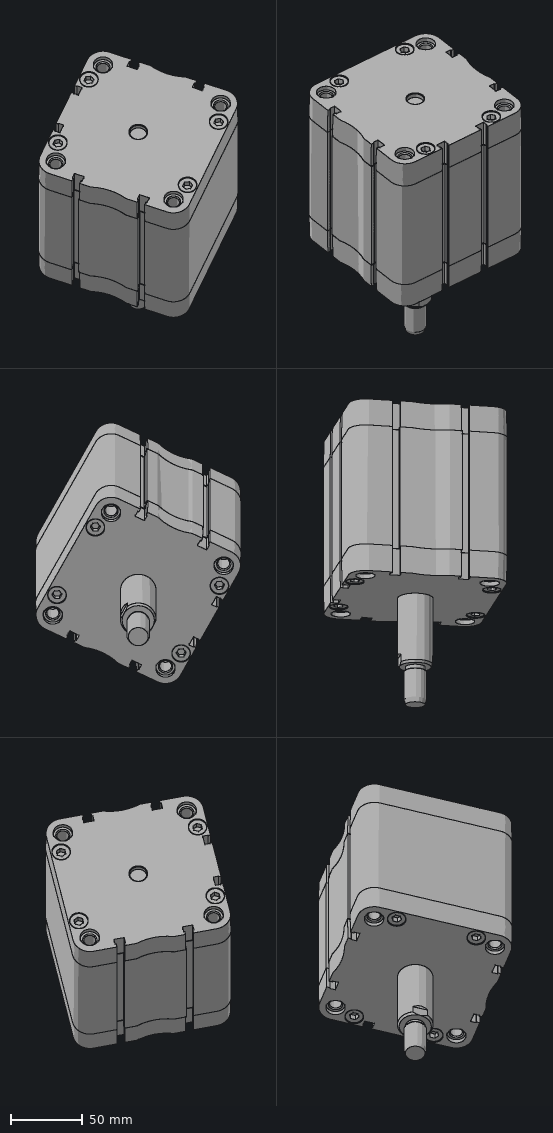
import cadquery as cq
import math

side = 113.5
total_height = 205.0
rod_reach = 78.3
half_side = side / 2
corner_radius = 12.5
cap_height = 19.5
cap_draft_angle = 1.0
barrel_base = rod_reach + cap_height
barrel_top = total_height - cap_height

y_slot_outer_edge = 27.5
y_slot_lip = 2.9
y_slot_undercut = 0.8
cap_y_slot_mouth = 5.7
cap_y_slot_depth = 7.0
barrel_y_slot_mouth = 5.1
barrel_y_slot_depth = 6.5

x_slot_offset = 17.5
x_slot_lip = 2.3
x_slot_undercut = 0.51
x_slot_mouth = 6.0
cap_x_slot_depth = 6.0
barrel_x_slot_depth = 5.3

cap_hollow_half_width = 13.3
cap_hollow_depth = 2.3
barrel_hollow_half_width = 13.7
barrel_hollow_depth = 2.3

mount_offset = 44.5
mount_hole_diameter = 8.5
mount_countersink_diameter = 10.0
mount_counterbore_diameter = 13.5
mount_counterbore_depth = 3.3

screw_x = 49.0
screw_y = 29.3
screw_recess_depth = 0.8
screw_recess_diameter = 12.7
hex_flats = 6.0
hex_depth = 5.1

center_hole_depth = 3.7
center_hole_diameter = 12.0

mouth_diameter = 13.1

rod_diameter = 25.0
shoulder_z = 27.7
shoulder_chamfer_height = 1.8
shoulder_chamfer_width = 1.2
neck_diameter = 14.0
neck_base = 25.0
thread_diameter = 16.0
thread_top = 24.4
tip_diameter = 14.0
tip_chamfer_height = 3.3
flat_distance = 22.5
flat_height = 7.2
rod_radius = rod_diameter / 2


def t_slot(mouth, undercut, lip, depth, height):
    """T-slot cutter that opens toward +Y, with its mouth centered on the origin."""
    neck = (
        cq.Workplane("XY")
        .rect(mouth, 2 * lip)
        .extrude(height)
    )
    wide = (
        cq.Workplane("XY")
        .center(0, -(lip + depth) / 2)
        .rect(mouth + 2 * undercut, depth - lip)
        .extrude(height)
    )
    return neck.union(wide)


def hollow_cutter(half_width, depth, height, draft):
    """Round cutter for a hollow in the +Y face, widening upward by the draft angle."""
    radius = (half_width**2 + depth**2) / (2 * depth)
    return (
        cq.Workplane("XY")
        .center(0, half_side - depth + radius)
        .circle(radius)
        .extrude(height, taper=-draft)
    )


def rounded_square(height, draft):
    sketch = cq.Sketch().rect(side, side).vertices().fillet(corner_radius)
    return cq.Workplane("XY").placeSketch(sketch).extrude(height, taper=draft)


def block_section(
    height, draft, y_slot_mouth, y_slot_depth, x_slot_depth, hollow_half_width, hollow_depth
):
    """Square section with rounded corners, side slots and hollows, standing on Z = 0."""
    section = rounded_square(height, draft)

    hollow = hollow_cutter(hollow_half_width, hollow_depth, height, draft)
    y_slot_x = y_slot_outer_edge - y_slot_mouth / 2
    y_slot = t_slot(y_slot_mouth, y_slot_undercut, y_slot_lip, y_slot_depth, height)
    for face_cutter in (
        hollow,
        y_slot.translate((-y_slot_x, half_side, 0)),
        y_slot.translate((y_slot_x, half_side, 0)),
    ):
        section = section.cut(face_cutter).cut(face_cutter.mirror("XZ"))

    x_slot = t_slot(x_slot_mouth, x_slot_undercut, x_slot_lip, x_slot_depth, height)
    x_slot = x_slot.rotate((0, 0, 0), (0, 0, 1), 90)
    for y in (-x_slot_offset, x_slot_offset):
        section = section.cut(x_slot.translate((-half_side, y, 0)))
    return section


def four_points(x, y):
    return [(-x, -y), (-x, y), (x, -y), (x, y)]


def hole_cutter(diameter, top, depth):
    return cq.Workplane("XY").workplane(offset=top - depth).circle(diameter / 2).extrude(depth)


def cone_cutter(top_diameter, bottom_diameter, top):
    """45 degree cone that narrows downward from the given height."""
    depth = (top_diameter - bottom_diameter) / 2
    cone = cq.Solid.makeCone(bottom_diameter / 2, top_diameter / 2, depth)
    return cq.Workplane(cone.translate(cq.Vector(0, 0, top - depth)))


def mount_hole_cutter():
    seat = cap_height - mount_counterbore_depth
    counterbore = hole_cutter(mount_counterbore_diameter, cap_height, mount_counterbore_depth)
    countersink = cone_cutter(mount_countersink_diameter, mount_hole_diameter, seat)
    return hole_cutter(mount_hole_diameter, cap_height, cap_height).union(counterbore).union(countersink)


def chamfered_bore_cutter(diameter, depth):
    bore = hole_cutter(diameter, cap_height, depth)
    return bore.union(cone_cutter(mouth_diameter, diameter, cap_height))


def screw_cutter():
    socket = (
        cq.Workplane("XY")
        .workplane(offset=cap_height - hex_depth)
        .polygon(6, hex_flats / math.cos(math.pi / 6))
        .extrude(hex_depth)
        .rotate((0, 0, 0), (0, 0, 1), 30)
    )
    return chamfered_bore_cutter(screw_recess_diameter, screw_recess_depth).union(socket)


def make_cap():
    """End cap standing on Z = 0 with its outer face up."""
    cap = block_section(
        cap_height,
        cap_draft_angle,
        cap_y_slot_mouth,
        cap_y_slot_depth,
        cap_x_slot_depth,
        cap_hollow_half_width,
        cap_hollow_depth,
    )
    mount_hole = mount_hole_cutter()
    for x, y in four_points(mount_offset, mount_offset):
        cap = cap.cut(mount_hole.translate((x, y, 0)))
    screw = screw_cutter()
    for x, y in four_points(screw_x, screw_y):
        cap = cap.cut(screw.translate((x, y, 0)))
    return cap


def make_top_cap():
    center_hole = chamfered_bore_cutter(center_hole_diameter, center_hole_depth)
    return make_cap().cut(center_hole).translate((0, 0, barrel_top))


def make_bottom_cap():
    """Mirrored cap with a through hole for the rod."""
    cap = make_cap().cut(hole_cutter(rod_diameter, cap_height, cap_height))
    return cap.mirror("XY").translate((0, 0, barrel_base))


def make_barrel():
    barrel = block_section(
        barrel_top - barrel_base,
        0,
        barrel_y_slot_mouth,
        barrel_y_slot_depth,
        barrel_x_slot_depth,
        barrel_hollow_half_width,
        barrel_hollow_depth,
    )
    return barrel.translate((0, 0, barrel_base))


def wrench_flat_cutter():
    """Cutter for the wrench flat on the +X side, with a 45 degree run-out at its top."""
    inner_x = flat_distance / 2
    flat_top = shoulder_z + flat_height
    return (
        cq.Workplane("XZ")
        .moveTo(inner_x, shoulder_z)
        .lineTo(inner_x, flat_top)
        .lineTo(rod_radius, flat_top + rod_radius - inner_x)
        .lineTo(rod_radius, shoulder_z)
        .close()
        .extrude(rod_radius, both=True)
    )


def make_rod():
    """Stepped rod with a threaded end, ending flush with the inner face of the bottom cap."""
    rod = (
        cq.Workplane("XZ")
        .lineTo(tip_diameter / 2, 0)
        .lineTo(thread_diameter / 2, tip_chamfer_height)
        .lineTo(thread_diameter / 2, thread_top)
        .lineTo(neck_diameter / 2, neck_base)
        .lineTo(neck_diameter / 2, shoulder_z)
        .lineTo(rod_radius - shoulder_chamfer_width, shoulder_z)
        .lineTo(rod_radius, shoulder_z + shoulder_chamfer_height)
        .lineTo(rod_radius, barrel_base)
        .lineTo(0, barrel_base)
        .close()
        .revolve(360, (0, 0, 0), (0, 1, 0))
    )
    wrench_flat = wrench_flat_cutter()
    return rod.cut(wrench_flat).cut(wrench_flat.mirror("YZ"))


top_cap = make_top_cap()
barrel = make_barrel()
bottom_cap = make_bottom_cap()
rod = make_rod()

result = cq.Compound.makeCompound([top_cap.val(), barrel.val(), bottom_cap.val(), rod.val()])